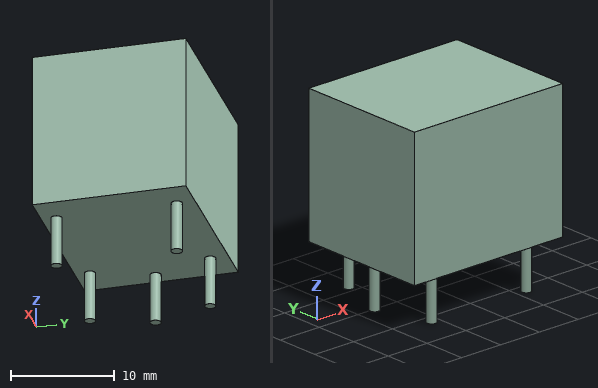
import cadquery as cq

housing_length = 19.11
housing_width = 15.35
overall_height = 21.05
pin_length = 5.14
pin_diameter = 1.1
housing_height = overall_height - pin_length

common_pin_x = -8.02
coil_pin_x = -6.02
contact_pin_x = 6.17
pin_row_offset_y = -0.17
pin_row_spacing = 6.0
front_row_y = pin_row_offset_y - pin_row_spacing
back_row_y = pin_row_offset_y + pin_row_spacing

pin_positions = [
    (common_pin_x, pin_row_offset_y),
    (coil_pin_x, front_row_y),
    (coil_pin_x, back_row_y),
    (contact_pin_x, front_row_y),
    (contact_pin_x, back_row_y),
]


def make_housing():
    """Plain rectangular housing standing on the plane Z = 0."""
    return cq.Workplane("XY").box(
        housing_length, housing_width, housing_height, centered=(True, True, False)
    )


def make_pin(x, y):
    """Round pin hanging from the underside of the housing."""
    return cq.Workplane("XY").center(x, y).circle(pin_diameter / 2).extrude(-pin_length)


housing = make_housing()
pins = [make_pin(x, y) for x, y in pin_positions]

result = cq.Compound.makeCompound([housing.val(), *[pin.val() for pin in pins]])